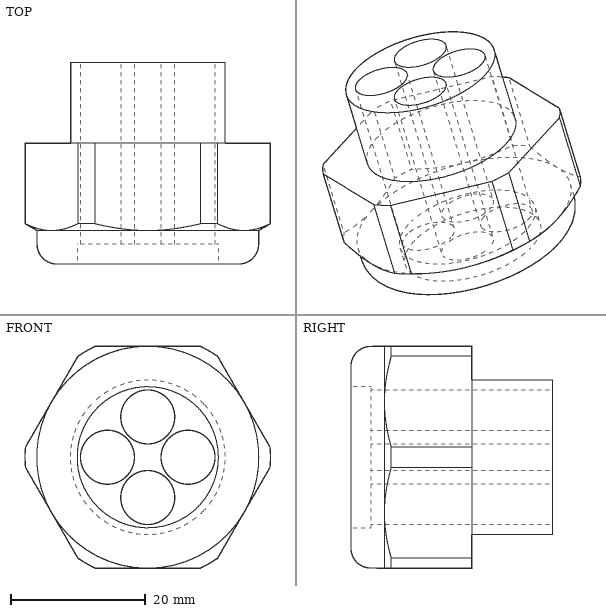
import cadquery as cq
import math

corner_diameter = 36.5
across_flats = 33.0
total_length = 30.0
tail_diameter = 23.0
tail_length = 12.0
hex_length = 13.0
hex_chamfer_angle = 30.0
cap_fillet = 3.0
recess_diameter = 21.0
recess_depth = 3.0
hole_diameter = 8.0
hole_offset = 6.0
hole_count = 4

hex_front = total_length - tail_length - hex_length
hex_back = hex_front + hex_length
cap_radius = across_flats / 2
corner_radius = corner_diameter / 2
chamfer_length = (corner_radius - cap_radius) * math.tan(math.radians(hex_chamfer_angle))


def cylinder(diameter, start, length):
    """Cylinder on the part's axis, running toward +Y from the start station."""
    return cq.Workplane("XZ", origin=(0, start, 0)).circle(diameter / 2).extrude(-length)


def make_hex():
    """Hexagon with corners on X, turned down at its corners and chamfered at the front."""
    circumscribed_diameter = across_flats / math.cos(math.radians(30))
    prism = (
        cq.Workplane("XZ", origin=(0, hex_front, 0))
        .polygon(6, circumscribed_diameter)
        .extrude(-hex_length)
    )
    turned_envelope = (
        cq.Workplane("XY")
        .moveTo(0, hex_front)
        .lineTo(cap_radius, hex_front)
        .lineTo(corner_radius, hex_front + chamfer_length)
        .lineTo(corner_radius, hex_back)
        .lineTo(0, hex_back)
        .close()
        .revolve(360, (0, 0, 0), (0, 1, 0))
    )
    return prism.intersect(turned_envelope)


def make_cap():
    """Round cap with a filleted front rim."""
    return cylinder(across_flats, 0, hex_front).faces("<Y").edges().fillet(cap_fillet)


def make_cable_holes():
    """Ring of through holes for the cables."""
    return (
        cq.Workplane("XZ")
        .polarArray(hole_offset, 0, 360, hole_count)
        .circle(hole_diameter / 2)
        .extrude(-total_length)
    )


tail = cylinder(tail_diameter, hex_back, tail_length)
recess = cylinder(recess_diameter, 0, recess_depth)

body = make_hex().union(make_cap()).union(tail)
result = body.cut(recess).cut(make_cable_holes())